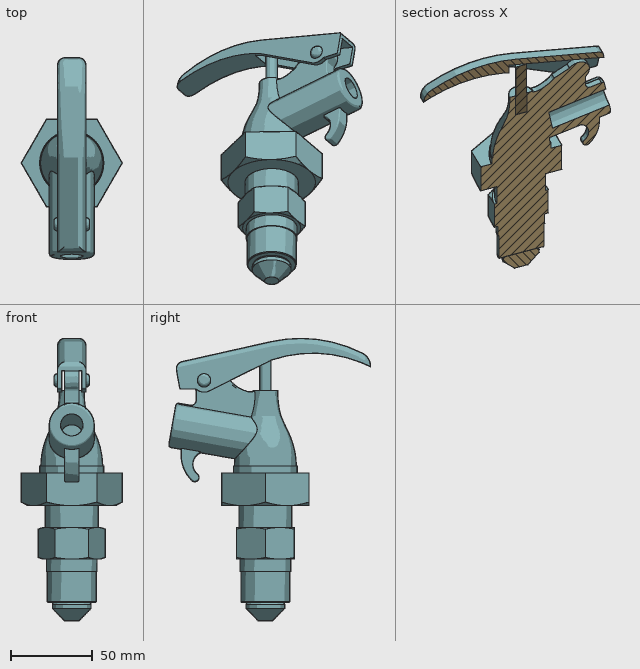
import cadquery as cq
import math


HEX_SIZE = 53.46
HEX_HEIGHT = 20.0
HEX_BEVEL = 2.2
NUT_SIZE = 35.5
NUT_TOP = -33.3
NUT_BOTTOM = -52.6
NUT_BEVEL = 1.0

COLLAR_RADIUS = 16.25
SHANK_RADIUS = 15.55
SHANK_BOTTOM = -60.3
TAIL_RADIUS = 15.0
TAIL_BOTTOM = -79.0
TAIL_CHAMFER = 0.5

BASE_RADIUS = 19.6
BASE_HEIGHT = 4.3
DOME_RADIUS = 19.0
DOME_MIDDLE = (16.9, 17.5)
DOME_BREAK = (13.3, 26.4)
CONE_END = (10.1, 33.6)
NECK_FOOT = (9.6, 34.6)
NECK_MIDDLE = (8.15, 41.4)
NECK_RADIUS = 7.7
NECK_START = 46.7
NECK_TOP = 50.35

PLUG_NECK_RADIUS = 11.3
PLUG_NECK_BOTTOM = -80.2
PLUG_RADIUS = 11.9
PLUG_CONE_TOP = -82.6
PLUG_TIP_RADIUS = 4.4
PLUG_BOTTOM = -90.34

OUTLET_TILT = 10.0
OUTLET_RADIUS = 13.8
OUTLET_END_Y = -56.88
OUTLET_END_Z = 29.3
OUTLET_LENGTH = 58.0
OUTLET_ROUNDING = 1.9
OUTLET_BORE_RADIUS = 6.8
OUTLET_BORE_DEPTH = 38.0

WEB_WIDTH = 8.9
WEB_EDGE_ROUNDING = 1.0
WEB_FRONT_Y = -42.3
WEB_ROOT_Z = 19.3
WEB_TOP_Z = 49.6
WEB_TOP_ARC_START_Y = -10.5
WEB_TOP_ARC_MIDDLE = (-15.6, 51.6)
WEB_TOP_ARC_END = (-21.5, 56.4)
LUG_RADIUS = 7.5
NOTCH_ROUNDING = 3.0
HOOK_BACK_Y = -39.5
HOOK_FRONT_Y = -51.5

LEVER_WIDTH = 17.55
LEVER_ROUNDING = 4.75
LEVER_WALL = 2.8
LEVER_CREST_Y = 21.5
LEVER_CREST_Z = 82.17
LEVER_TOP_RADIUS = 83.0
LEVER_SLOPE = 12.66
LEVER_FRONT_Y = -55.1
LEVER_FRONT_LEAN = 10.1
LEVER_FRONT_BOTTOM_Z = 51.2
LEVER_FRONT_CORNER = 1.0
LEVER_PIVOT_RADIUS = 7.2
LEVER_END_Y = 64.3
LEVER_END_Z = 64.7
LEVER_END_MIDDLE = (62.7, 70.0)
LEVER_END_TOP_Y = 58.6
UNDERSIDE_BEND = (3.6, 68.8)
UNDERSIDE_CREST = (29.5, 73.0)
CHANNEL_END_Y = 8.0

RIVET_Y = -37.45
RIVET_Z = 56.5
RIVET_HEAD_RADIUS = 4.1
RIVET_HEAD_HEIGHT = 2.15
RIVET_FLAT_RADIUS = 1.75
ROD_RADIUS = 3.55
ROD_BOTTOM = 35.0


def side_plate(outline, width):
    """Extrude an outline of the YZ plane to the given width, centred on X = 0."""
    return outline.extrude(width / 2, both=True)


def disc(y, z, radius, width):
    """Cylinder along X, centred on X = 0."""
    return side_plate(cq.Workplane("YZ").center(y, z).circle(radius), width)


def hexagon(size, bottom, top, bevel, bevel_top):
    """Hexagonal prism along Z with corners on the X axis and conical corner bevels."""
    flat_radius = size / 2
    corner_radius = size / math.sqrt(3)
    prism = cq.Workplane("XY").workplane(offset=bottom).polygon(6, 2 * corner_radius).extrude(top - bottom)
    envelope = cq.Workplane("XZ").moveTo(0, bottom).lineTo(flat_radius, bottom)
    envelope = envelope.lineTo(corner_radius, bottom + bevel)
    if bevel_top:
        envelope = envelope.lineTo(corner_radius, top - bevel).lineTo(flat_radius, top)
    else:
        envelope = envelope.lineTo(corner_radius, top)
    envelope = envelope.lineTo(0, top).close().revolve(360, (0, 0, 0), (0, 1, 0))
    return prism.intersect(envelope)


def turned_core():
    """Dome and neck above the hexagons, collar, shank and tail below them."""
    return (
        cq.Workplane("XZ")
        .moveTo(0, TAIL_BOTTOM)
        .lineTo(TAIL_RADIUS - TAIL_CHAMFER, TAIL_BOTTOM)
        .lineTo(TAIL_RADIUS, TAIL_BOTTOM + TAIL_CHAMFER)
        .lineTo(TAIL_RADIUS, SHANK_BOTTOM)
        .lineTo(SHANK_RADIUS, SHANK_BOTTOM)
        .lineTo(SHANK_RADIUS, NUT_BOTTOM)
        .lineTo(COLLAR_RADIUS, NUT_BOTTOM)
        .lineTo(COLLAR_RADIUS, -HEX_HEIGHT)
        .lineTo(BASE_RADIUS, -HEX_HEIGHT)
        .lineTo(BASE_RADIUS, BASE_HEIGHT)
        .lineTo(DOME_RADIUS, BASE_HEIGHT)
        .threePointArc(DOME_MIDDLE, DOME_BREAK)
        .lineTo(*CONE_END)
        .lineTo(*NECK_FOOT)
        .threePointArc(NECK_MIDDLE, (NECK_RADIUS, NECK_START))
        .lineTo(NECK_RADIUS, NECK_TOP)
        .lineTo(0, NECK_TOP)
        .close()
        .revolve(360, (0, 0, 0), (0, 1, 0))
    )


def outlet_point(along, above):
    """(Y, Z) of a point given by its distance inward from the outlet end and above the outlet axis."""
    tilt = math.radians(OUTLET_TILT)
    y = OUTLET_END_Y + along * math.cos(tilt) + above * math.sin(tilt)
    z = OUTLET_END_Z - along * math.sin(tilt) + above * math.cos(tilt)
    return y, z


def outlet_plane():
    """Plane of the outlet end face, with its normal pointing inward."""
    tilt = math.radians(OUTLET_TILT)
    return cq.Plane(
        origin=(0, OUTLET_END_Y, OUTLET_END_Z),
        xDir=(1, 0, 0),
        normal=(0, math.cos(tilt), -math.sin(tilt)),
    )


def outlet():
    tube = cq.Workplane(outlet_plane()).circle(OUTLET_RADIUS).extrude(OUTLET_LENGTH)
    return tube.faces("<Y").edges().fillet(OUTLET_ROUNDING)


def outlet_bore():
    return cq.Workplane(outlet_plane()).circle(OUTLET_BORE_RADIUS).extrude(OUTLET_BORE_DEPTH)


def web():
    """Plate between neck, outlet and lever, with a round lug and a strip along the outlet."""
    strip_end = outlet_point(OUTLET_ROUNDING, OUTLET_RADIUS)
    strip_root = outlet_point(OUTLET_ROUNDING, OUTLET_RADIUS / 2)
    wall_foot_z = strip_end[1] - (WEB_FRONT_Y - strip_end[0]) * math.tan(math.radians(OUTLET_TILT))
    outline = (
        cq.Workplane("YZ")
        .moveTo(0, WEB_ROOT_Z)
        .lineTo(0, WEB_TOP_Z)
        .lineTo(WEB_TOP_ARC_START_Y, WEB_TOP_Z)
        .threePointArc(WEB_TOP_ARC_MIDDLE, WEB_TOP_ARC_END)
        .lineTo(RIVET_Y, RIVET_Z + LUG_RADIUS)
        .lineTo(RIVET_Y, RIVET_Z)
        .lineTo(WEB_FRONT_Y, RIVET_Z)
        .lineTo(WEB_FRONT_Y, wall_foot_z)
        .lineTo(*strip_end)
        .lineTo(*strip_root)
        .close()
    )
    plate = side_plate(outline, WEB_WIDTH)
    plate = plate.union(disc(RIVET_Y, RIVET_Z, LUG_RADIUS, WEB_WIDTH))
    notch = cq.selectors.BoxSelector(
        (-1, WEB_FRONT_Y - 0.1, wall_foot_z - 0.1), (1, WEB_FRONT_Y + 0.1, RIVET_Z - 1)
    )
    plate = plate.edges("|X").edges(notch).fillet(NOTCH_ROUNDING)
    return plate.faces("<X or >X").edges().fillet(WEB_EDGE_ROUNDING)


def hook():
    """Curved finger hook below the outlet."""
    outline = (
        cq.Workplane("YZ")
        .moveTo(HOOK_BACK_Y, 17)
        .lineTo(HOOK_BACK_Y, 12.2)
        .threePointArc((-44.2, 5.2), (-41.4, -0.8))
        .tangentArcPoint((-44.9, -4.7), relative=False)
        .tangentArcPoint((HOOK_FRONT_Y, 12), relative=False)
        .lineTo(HOOK_FRONT_Y, 19)
        .close()
    )
    return side_plate(outline, WEB_WIDTH).faces("<X or >X").edges().fillet(WEB_EDGE_ROUNDING)


def make_body():
    body = turned_core().union(outlet())
    body = body.union(hexagon(HEX_SIZE, -HEX_HEIGHT, 0, HEX_BEVEL, False))
    body = body.union(hexagon(NUT_SIZE, NUT_BOTTOM, NUT_TOP, NUT_BEVEL, True))
    body = body.union(web()).union(hook()).cut(outlet_bore())
    rod_hole = cq.Workplane("XY").workplane(offset=ROD_BOTTOM).circle(ROD_RADIUS).extrude(NECK_TOP)
    return body.cut(rod_hole)


def make_plug():
    """Conical plug with a slim neck, seated against the end of the tail."""
    return (
        cq.Workplane("XZ")
        .moveTo(0, PLUG_BOTTOM)
        .lineTo(PLUG_TIP_RADIUS, PLUG_BOTTOM)
        .lineTo(PLUG_RADIUS, PLUG_CONE_TOP)
        .lineTo(PLUG_RADIUS, PLUG_NECK_BOTTOM)
        .lineTo(PLUG_NECK_RADIUS, TAIL_BOTTOM)
        .lineTo(0, TAIL_BOTTOM)
        .close()
        .revolve(360, (0, 0, 0), (0, 1, 0))
    )


def lever_top_z(y, inset=0.0):
    """Height of the straight lever top at a Y, or of a line inset below it."""
    slope = math.radians(LEVER_SLOPE)
    tangent_y = LEVER_CREST_Y - LEVER_TOP_RADIUS * math.sin(slope)
    tangent_z = LEVER_CREST_Z - LEVER_TOP_RADIUS * (1 - math.cos(slope))
    return tangent_z - (tangent_y - y) * math.tan(slope) - inset / math.cos(slope)


def arc_top(y):
    """(Y, Z) of a point on the arched rear part of the lever top."""
    drop = LEVER_TOP_RADIUS - math.sqrt(LEVER_TOP_RADIUS**2 - (y - LEVER_CREST_Y) ** 2)
    return y, LEVER_CREST_Z - drop


def front_y(z):
    """Y of the leaning lever front at a height."""
    top_z = lever_top_z(LEVER_FRONT_Y)
    return LEVER_FRONT_Y + (top_z - z) * math.tan(math.radians(LEVER_FRONT_LEAN))


def lever_blank():
    """Lever side shape as a full-width plate with square long edges."""
    tangent_y = LEVER_CREST_Y - LEVER_TOP_RADIUS * math.sin(math.radians(LEVER_SLOPE))
    bottom_drop = RIVET_Z - LEVER_FRONT_BOTTOM_Z
    pivot_front_y = RIVET_Y - math.sqrt(LEVER_PIVOT_RADIUS**2 - bottom_drop**2)
    dy = UNDERSIDE_BEND[0] - RIVET_Y
    dz = UNDERSIDE_BEND[1] - RIVET_Z
    angle = math.atan2(dz, dy) - math.acos(LEVER_PIVOT_RADIUS / math.hypot(dy, dz))
    pivot_tangent = (
        RIVET_Y + LEVER_PIVOT_RADIUS * math.cos(angle),
        RIVET_Z + LEVER_PIVOT_RADIUS * math.sin(angle),
    )
    outline = (
        cq.Workplane("YZ")
        .moveTo(LEVER_END_Y, LEVER_END_Z)
        .threePointArc(LEVER_END_MIDDLE, arc_top(LEVER_END_TOP_Y))
        .threePointArc(arc_top(LEVER_CREST_Y), arc_top(tangent_y))
        .lineTo(LEVER_FRONT_Y, lever_top_z(LEVER_FRONT_Y))
        .lineTo(front_y(LEVER_FRONT_BOTTOM_Z), LEVER_FRONT_BOTTOM_Z)
        .lineTo(pivot_front_y, LEVER_FRONT_BOTTOM_Z)
        .threePointArc((RIVET_Y, RIVET_Z - LEVER_PIVOT_RADIUS), pivot_tangent)
        .lineTo(*UNDERSIDE_BEND)
        .threePointArc(UNDERSIDE_CREST, (LEVER_END_Y, LEVER_END_Z))
        .close()
    )
    blank = side_plate(outline, LEVER_WIDTH)
    return blank.faces("<Y").edges("<Z").fillet(LEVER_FRONT_CORNER)


def lever_channel():
    """Room below the roof and between the side walls."""
    ahead_y = LEVER_FRONT_Y - 10
    floor_z = RIVET_Z - 2 * LEVER_PIVOT_RADIUS
    outline = (
        cq.Workplane("YZ")
        .moveTo(CHANNEL_END_Y, floor_z)
        .lineTo(CHANNEL_END_Y, lever_top_z(CHANNEL_END_Y, LEVER_ROUNDING))
        .lineTo(ahead_y, lever_top_z(ahead_y, LEVER_ROUNDING))
        .lineTo(ahead_y, floor_z)
        .close()
    )
    return side_plate(outline, LEVER_WIDTH - 2 * LEVER_WALL)


def round_long_edges(blank):
    """Round the upper edges along both sides, from the front over the arch to the rear tip."""
    edge_points = [
        (LEVER_FRONT_Y / 2, lever_top_z(LEVER_FRONT_Y / 2)),
        arc_top(LEVER_CREST_Y),
        LEVER_END_MIDDLE,
    ]
    edges = cq.Workplane("XY")
    for side in (-1, 1):
        for y, z in edge_points:
            point = (side * LEVER_WIDTH / 2, y, z)
            edges = edges.add(blank.edges(cq.selectors.NearestToPointSelector(point)))
    return blank.newObject(edges.vals()).fillet(LEVER_ROUNDING)


def round_front_edge(blank):
    front_edge = (0, LEVER_FRONT_Y, lever_top_z(LEVER_FRONT_Y))
    return blank.edges(cq.selectors.NearestToPointSelector(front_edge)).fillet(LEVER_ROUNDING)


def rounded_plan():
    """Column over the lever plan, with rounded corners at the rear."""
    length = LEVER_END_Y - LEVER_FRONT_Y
    column = cq.Workplane("XY").center(0, LEVER_END_Y - length / 2).rect(LEVER_WIDTH, length)
    return column.extrude(LEVER_CREST_Z).edges("|Z and >Y").fillet(LEVER_ROUNDING)


def rivet_head():
    """Domed, flat-ended head standing on the YZ plane and pointing to +X."""
    round_depth = RIVET_HEAD_RADIUS - RIVET_FLAT_RADIUS
    middle_radius = RIVET_FLAT_RADIUS + round_depth * math.sin(math.pi / 4)
    middle_x = RIVET_HEAD_HEIGHT * math.sin(math.pi / 4)
    profile = (
        cq.Workplane("XY")
        .lineTo(RIVET_HEAD_HEIGHT, 0)
        .lineTo(RIVET_HEAD_HEIGHT, RIVET_FLAT_RADIUS)
        .threePointArc((middle_x, middle_radius), (0, RIVET_HEAD_RADIUS))
        .close()
    )
    return profile.revolve(360, (0, 0, 0), (1, 0, 0))


def make_lever():
    """Arched lever with a channel below and a rivet head on each side wall."""
    blank = lever_blank()
    lever = round_long_edges(blank).intersect(round_front_edge(blank)).intersect(rounded_plan())
    lever = lever.cut(lever_channel())
    head = rivet_head().translate((LEVER_WIDTH / 2, RIVET_Y, RIVET_Z))
    return lever.union(head).union(head.mirror("YZ"))


def make_rod():
    """Push rod from the neck up to the lever roof."""
    top = lever_top_z(-ROD_RADIUS, LEVER_ROUNDING)
    return cq.Workplane("XY").workplane(offset=ROD_BOTTOM).circle(ROD_RADIUS).extrude(top - ROD_BOTTOM)


body = make_body()
lever = make_lever()
rod = make_rod()
plug = make_plug()
result = cq.Compound.makeCompound([body.val(), lever.val(), rod.val(), plug.val()])